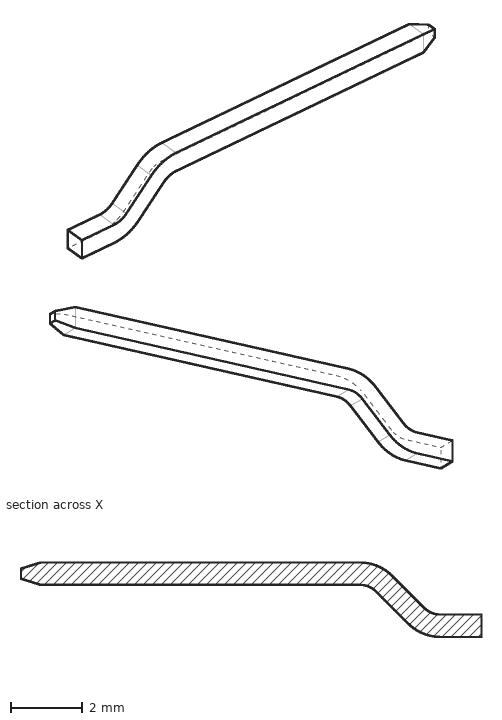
import cadquery as cq
import math

total_length = 12.95
total_height = 2.1
wire = 0.63
foot_length = 1.17
bend_angle = math.radians(45)
inner_radius = wire
tip_length = 0.56
tip_width = 0.28

bend_radius = inner_radius + wire / 2
bend_run = bend_radius * math.sin(bend_angle)
bend_rise = bend_radius * (1 - math.cos(bend_angle))
half_run = bend_radius * math.sin(bend_angle / 2)
half_rise = bend_radius * (1 - math.cos(bend_angle / 2))
step = total_height - wire
ramp_rise = step - 2 * bend_rise
ramp_run = ramp_rise / math.tan(bend_angle)
shank_start = foot_length + 2 * bend_run + ramp_run
shank_end = total_length - tip_length

center_line = (
    cq.Workplane("YZ")
    .moveTo(0, 0)
    .lineTo(foot_length, 0)
    .threePointArc((foot_length + half_run, half_rise), (foot_length + bend_run, bend_rise))
    .line(ramp_run, ramp_rise)
    .threePointArc((shank_start - half_run, step - half_rise), (shank_start, step))
    .lineTo(shank_end, step)
)
body = cq.Workplane("XZ").rect(wire, wire).sweep(center_line)

tip = (
    cq.Workplane("XZ", origin=(0, shank_end, step))
    .rect(wire, wire)
    .workplane(offset=-tip_length)
    .rect(tip_width, tip_width)
    .loft(ruled=True)
)

result = body.union(tip)